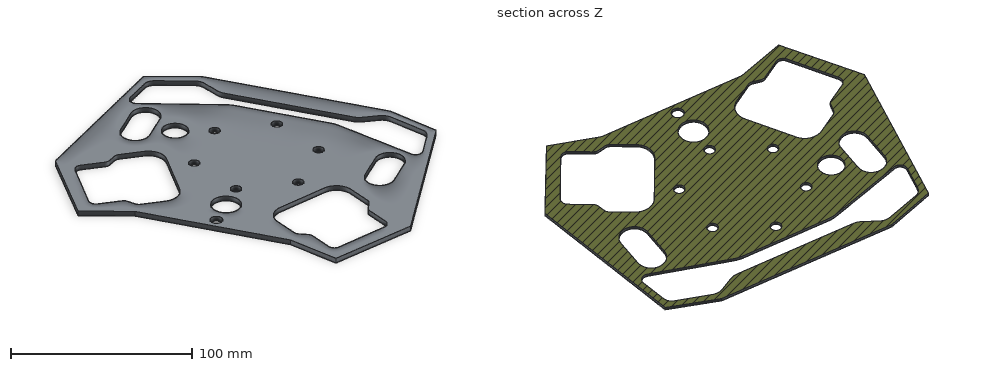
import cadquery as cq

thickness = 3.0
half_width = 103.5
top_y = 67.5
lower_tip_y = -84.5
bottom_y = -74.9

outline_left = [
    (-55.0, top_y),
    (-85.2, 57.0),
    (-half_width, -40.1),
    (-75.0, lower_tip_y),
    (-45.3, bottom_y),
]

handle_left = [
    (-40.1, 55.2, 10.3),
    (-54.0, 62.9, 8.3),
    (-81.5, 53.8, 6.2),
    (-86.5, 27.7, 4.1),
    (-30.5, 45.3, 18.6),
]

pattern_radius = 35.0
pattern_count = 6
pattern_hole_diameter = 6.2
side_hole_diameter = 15.0
side_hole_position = (-50.9, 10.3)
large_hole_diameter = 17.0
large_hole_y = -52.0
rear_hole_diameter = 7.0
rear_hole_y = -68.5

slot_x = 71.1
slot_y = 10.5
slot_width = 17.0
slot_length = 34.5

window_x = 59.5
window_y = -45.5
window_tilt = 32.0
window_half_length = 25.8
window_narrow_half = 20.3
window_wide_half = 26.0
step_start = -6.2
step_end = step_start + window_wide_half - window_narrow_half
window_outer_radius = 4.1
window_inner_radius = 10.3
step_radius = 4.1


def mirrored(points):
    """Close a left half outline with its mirror image across the YZ plane."""
    return points + [(-x, y) for x, y in reversed(points)]


def prism(points):
    """Extrude a closed outline through the plate thickness."""
    return cq.Workplane("XY").polyline(points).close().extrude(thickness)


def round_corner(body, point, radius):
    """Fillet the upright edge that stands at the given point."""
    x, y = point
    reach = 0.2
    corner = cq.selectors.BoxSelector(
        (x - reach, y - reach, -reach), (x + reach, y + reach, thickness + reach)
    )
    return body.edges("|Z").edges(corner).fillet(radius)


def cylinder(position, diameter):
    return cq.Workplane("XY").center(*position).circle(diameter / 2).extrude(thickness)


def make_handle_window():
    window = prism(mirrored([(x, y) for x, y, _ in handle_left]))
    for x, y, radius in handle_left:
        for side in (-1, 1):
            window = round_corner(window, (side * x, y), radius)
    return window


def make_left_window():
    upper_half = [
        (-window_half_length, window_narrow_half, window_outer_radius),
        (step_start, window_narrow_half, step_radius),
        (step_end, window_wide_half, step_radius),
        (window_half_length, window_wide_half, window_inner_radius),
    ]
    upper = [(x, y) for x, y, _ in upper_half]
    lower = [(x, -y) for x, y in reversed(upper)]
    window = prism(upper + lower)
    for x, y, radius in upper_half:
        for side in (-1, 1):
            window = round_corner(window, (x, side * y), radius)
    window = window.rotate((0, 0, 0), (0, 0, 1), window_tilt)
    return window.translate((-window_x, window_y, 0))


def make_slots():
    return (
        cq.Workplane("XY")
        .pushPoints([(-slot_x, slot_y), (slot_x, slot_y)])
        .slot2D(slot_length, slot_width, 90)
        .extrude(thickness)
    )


def make_hole_pattern():
    first_angle = 90
    return (
        cq.Workplane("XY")
        .polarArray(pattern_radius, first_angle, 360, pattern_count)
        .circle(pattern_hole_diameter / 2)
        .extrude(thickness)
    )


left_window = make_left_window()

result = (
    prism(mirrored(outline_left))
    .cut(make_handle_window())
    .cut(left_window)
    .cut(left_window.mirror("YZ"))
    .cut(make_slots())
    .cut(make_hole_pattern())
    .cut(cylinder(side_hole_position, side_hole_diameter))
    .cut(cylinder((0, large_hole_y), large_hole_diameter))
    .cut(cylinder((0, rear_hole_y), rear_hole_diameter))
)